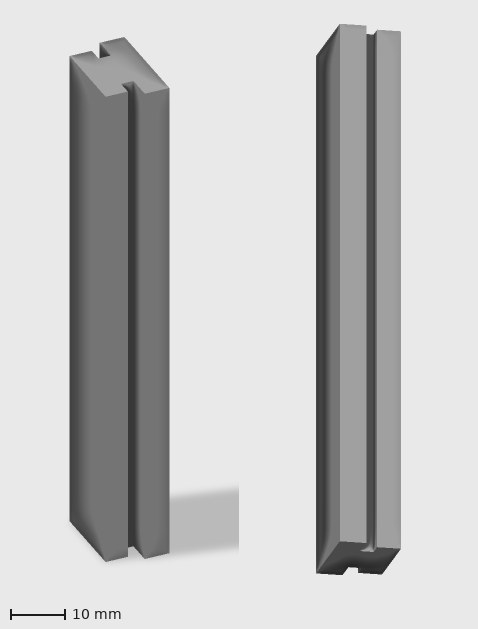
import cadquery as cq

length = 100.0
depth = 12.0

back_flange_width = 20.0
back_flange_thickness = 5.0
front_flange_width = 16.0
groove_height = 2.5
neck_width = 10.0

front_flange_thickness = depth - back_flange_thickness - groove_height


def bar(width, y_start, thickness):
    """Full-length rectangular bar, centred on X, starting at y_start."""
    return cq.Workplane("XY").box(
        width, thickness, length, centered=(True, False, False)
    ).translate((0, y_start, 0))


front_flange = bar(front_flange_width, 0, front_flange_thickness)
neck = bar(neck_width, front_flange_thickness, groove_height)
back_flange = bar(
    back_flange_width, front_flange_thickness + groove_height, back_flange_thickness
)

result = front_flange.union(neck).union(back_flange)